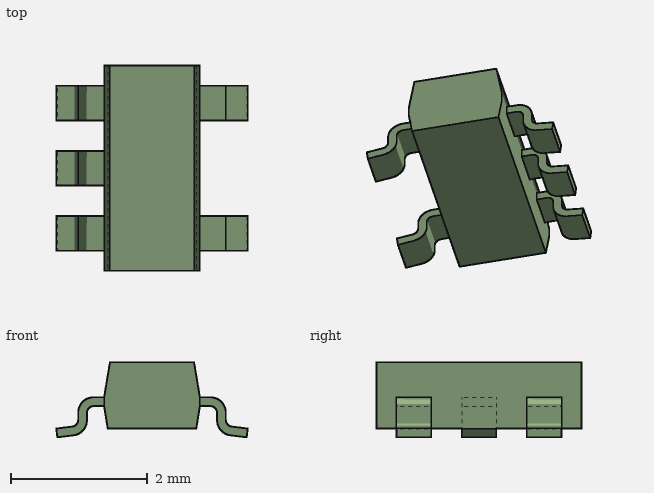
import cadquery as cq
import math

body_length = 3.0
body_width = 1.4
body_top_width = 1.23
body_bottom_width = 1.295
body_bottom = 0.13
body_top = 1.1

lead_span = 2.8
lead_width = 0.51
lead_pitch = 0.95
lead_thickness = 0.132
lead_top = 0.588
shank_reach = 1.08
inner_radius = 0.095
foot_tilt = math.radians(7)

outer_radius = inner_radius + lead_thickness
lead_bottom = lead_top - lead_thickness


def make_body():
    """Moulded body: tapered above and below a vertical band as thick as the leads."""
    half_band = body_width / 2
    half_top = body_top_width / 2
    half_bottom = body_bottom_width / 2
    outline = [
        (-half_bottom, body_bottom),
        (half_bottom, body_bottom),
        (half_band, lead_bottom),
        (half_band, lead_top),
        (half_top, body_top),
        (-half_top, body_top),
        (-half_band, lead_top),
        (-half_band, lead_bottom),
    ]
    return cq.Workplane("XZ").polyline(outline).close().extrude(body_length / 2, both=True)


def make_lead(side, y_center):
    """Gull-wing lead on the +X (side = 1) or -X (side = -1) face of the body."""
    sin_tilt = math.sin(foot_tilt)
    cos_tilt = math.cos(foot_tilt)

    upper_x = shank_reach - outer_radius
    upper_z = lead_top - outer_radius

    lower_x = shank_reach + inner_radius
    tip_x = lead_span / 2
    tip_z = lead_thickness * cos_tilt
    foot_run = tip_x - (lower_x - inner_radius * sin_tilt)
    lower_z = tip_z + foot_run * math.tan(foot_tilt) + inner_radius * cos_tilt

    def upper_arc(radius, angle):
        return side * (upper_x + radius * math.cos(angle)), upper_z + radius * math.sin(angle)

    def lower_arc(radius, angle):
        return side * (lower_x - radius * math.cos(angle)), lower_z - radius * math.sin(angle)

    upper_end = math.pi / 2
    upper_mid = upper_end / 2
    lower_end = math.pi / 2 - foot_tilt
    lower_mid = lower_end / 2

    profile = (
        cq.Workplane("XZ", origin=(0, y_center, 0))
        .moveTo(side * body_width / 2, lead_top)
        .lineTo(*upper_arc(outer_radius, upper_end))
        .threePointArc(upper_arc(outer_radius, upper_mid), upper_arc(outer_radius, 0))
        .lineTo(*lower_arc(inner_radius, 0))
        .threePointArc(lower_arc(inner_radius, lower_mid), lower_arc(inner_radius, lower_end))
        .lineTo(side * tip_x, tip_z)
        .lineTo(side * (tip_x - lead_thickness * sin_tilt), 0)
        .lineTo(*lower_arc(outer_radius, lower_end))
        .threePointArc(lower_arc(outer_radius, lower_mid), lower_arc(outer_radius, 0))
        .lineTo(*upper_arc(inner_radius, 0))
        .threePointArc(upper_arc(inner_radius, upper_mid), upper_arc(inner_radius, upper_end))
        .lineTo(side * body_width / 2, lead_bottom)
        .close()
    )
    return profile.extrude(lead_width / 2, both=True)


body = make_body()

lead_places = [(-1, -1), (-1, 0), (-1, 1), (1, -1), (1, 1)]
leads = []
for side, row in lead_places:
    leads.append(make_lead(side, row * lead_pitch).val())

result = cq.Compound.makeCompound([body.val(), *leads])